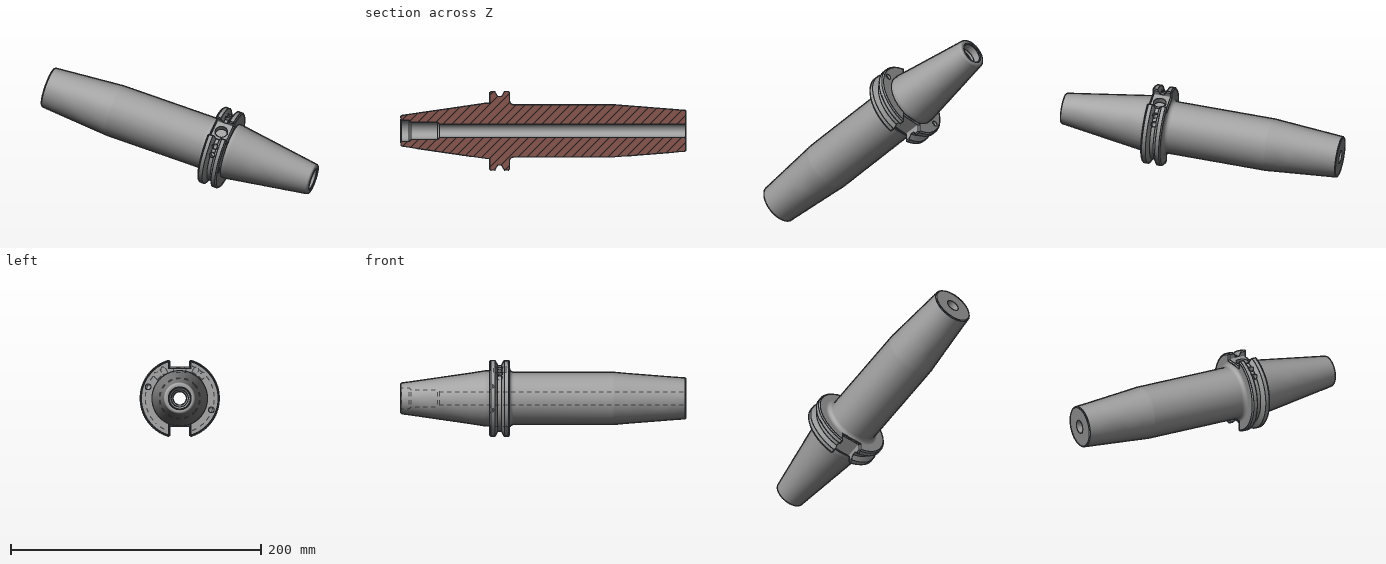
import cadquery as cq
import math

length = 228.2
gauge_x = 68.2
flange_start = 71.2
flange_width = 16.0
flange_end = flange_start + flange_width
nozzle_start = 170.5

gauge_radius = 22.23
taper_ratio = 7 / 24
nose_radius = gauge_radius - gauge_x * taper_ratio / 2
flange_diameter = 63.5
flange_radius = flange_diameter / 2
body_radius = 21.0
tip_radius = 16.5

nose_fillet = 1.8
tip_chamfer = 0.7
flange_chamfer = 1.03
root_fillet = 3.5

groove_x = 79.2
groove_root_radius = 27.6
groove_floor_width = 3.0
groove_half_angle = 30
groove_floor_half = groove_floor_width / 2
groove_depth = flange_radius - groove_root_radius
groove_top_half = groove_floor_half + groove_depth * math.tan(math.radians(groove_half_angle))

mouth_chamfer = 0.7
counterbore_radius = 8.5
counterbore_depth = 6.8
thread_radius = 6.8
thread_depth = 29.7
through_radius = 5.2

slot_width = 16.0
slot_end_chamfer = 1.1
slot_rim_chamfer = 1.0
slot_floor_fillet = 0.7
upper_slot_floor = 25.0
lower_slot_floor = 22.5
chip_hole_diameter = 10.0
chip_hole_depth = 4.5

coolant_circle_radius = 27.0
coolant_angle = 20
coolant_diameter = 4.5
coolant_depth = 2.3

drill_half_angle = 59

radial_hole_angles = (-45, -30, 30, 45)
radial_hole_diameter = 4.3
radial_hole_depth = 4.5


def revolve_about_x(profile):
    return profile.close().revolve(360, (0, 0, 0), (1, 0, 0))


def outer_body():
    fillet_top = body_radius + root_fillet
    fillet_end = flange_end + root_fillet
    fillet_offset = root_fillet * math.sqrt(0.5)
    fillet_middle = (fillet_end - fillet_offset, fillet_top - fillet_offset)
    rim = flange_radius - flange_chamfer
    profile = (
        cq.Workplane("XY")
        .lineTo(0, nose_radius)
        .lineTo(gauge_x, gauge_radius)
        .lineTo(flange_start, gauge_radius)
        .lineTo(flange_start, rim)
        .lineTo(flange_start + flange_chamfer, flange_radius)
        .lineTo(groove_x - groove_top_half, flange_radius)
        .lineTo(groove_x - groove_floor_half, groove_root_radius)
        .lineTo(groove_x + groove_floor_half, groove_root_radius)
        .lineTo(groove_x + groove_top_half, flange_radius)
        .lineTo(flange_end - flange_chamfer, flange_radius)
        .lineTo(flange_end, rim)
        .lineTo(flange_end, fillet_top)
        .threePointArc(fillet_middle, (fillet_end, body_radius))
        .lineTo(nozzle_start, body_radius)
        .lineTo(length, tip_radius)
        .lineTo(length, 0)
    )
    body = revolve_about_x(profile)
    return body.faces("<X").edges().fillet(nose_fillet).faces(">X").edges().chamfer(tip_chamfer)


def stepped_bore():
    mouth_radius = counterbore_radius + mouth_chamfer
    thread_start = counterbore_depth + counterbore_radius - thread_radius
    through_start = thread_depth + thread_radius - through_radius
    profile = (
        cq.Workplane("XY")
        .lineTo(0, mouth_radius)
        .lineTo(mouth_chamfer, counterbore_radius)
        .lineTo(counterbore_depth, counterbore_radius)
        .lineTo(thread_start, thread_radius)
        .lineTo(thread_depth, thread_radius)
        .lineTo(through_start, through_radius)
        .lineTo(length, through_radius)
        .lineTo(length, 0)
    )
    return revolve_about_x(profile)


def slot_prism(floor):
    """Prism along X whose walls lean out at 45 degrees near the flange rim."""
    half_width = slot_width / 2
    rim_half_width = half_width + slot_rim_chamfer
    chamfer_base = math.sqrt(flange_radius**2 - rim_half_width**2) - slot_rim_chamfer
    top_half_width = half_width + flange_radius - chamfer_base
    outline = [
        (-half_width, floor),
        (half_width, floor),
        (half_width, chamfer_base),
        (top_half_width, flange_radius),
        (-top_half_width, flange_radius),
        (-half_width, chamfer_base),
    ]
    run = flange_width + root_fillet
    return cq.Workplane("YZ", origin=(flange_start, 0, 0)).polyline(outline).close().extrude(run)


def end_flare(floor, face_x, direction):
    """Tapered opening that chamfers the slot where it meets one flange face."""
    inner_x = face_x + direction * slot_end_chamfer
    width = slot_width + 2 * slot_end_chamfer
    lowest = floor - slot_end_chamfer
    top = flange_radius + slot_end_chamfer
    return (
        cq.Workplane("YZ", origin=(face_x, 0, (lowest + top) / 2))
        .rect(width, top - lowest)
        .extrude(inner_x - face_x, taper=45)
    )


def driving_slot(floor):
    slot = slot_prism(floor)
    slot = slot.faces("<Z").edges("|X").fillet(slot_floor_fillet)
    return slot.union(end_flare(floor, flange_start, 1)).union(end_flare(floor, flange_end, -1))


def drill(diameter, depth, entry):
    """Drill pointing down -Z: full diameter from `entry` above Z = 0 to `depth` below it."""
    radius = diameter / 2
    tip_length = radius / math.tan(math.radians(drill_half_angle))
    return (
        cq.Workplane("XZ")
        .moveTo(0, entry)
        .lineTo(radius, entry)
        .lineTo(radius, -depth)
        .lineTo(0, -depth - tip_length)
        .close()
        .revolve(360, (0, 0, 0), (0, 1, 0))
    )


def chip_hole():
    return (
        cq.Workplane("XY", origin=(groove_x, 0, upper_slot_floor))
        .circle(chip_hole_diameter / 2)
        .extrude(-chip_hole_depth)
    )


def coolant_hole(angle):
    hole = drill(coolant_diameter, coolant_depth, 0).rotate((0, 0, 0), (0, 1, 0), -90)
    hole = hole.translate((flange_start, coolant_circle_radius, 0))
    return hole.rotate((0, 0, 0), (1, 0, 0), angle)


def radial_hole(angle):
    hole = drill(radial_hole_diameter, radial_hole_depth, groove_depth)
    hole = hole.translate((groove_x, 0, groove_root_radius))
    return hole.rotate((0, 0, 0), (1, 0, 0), angle)


result = outer_body().cut(stepped_bore())
result = result.cut(driving_slot(upper_slot_floor))
lower_slot = driving_slot(lower_slot_floor).rotate((0, 0, 0), (1, 0, 0), 180)
result = result.cut(lower_slot)
result = result.cut(chip_hole())
for hole_angle in (coolant_angle, coolant_angle + 180):
    result = result.cut(coolant_hole(hole_angle))
for hole_angle in radial_hole_angles:
    result = result.cut(radial_hole(hole_angle))